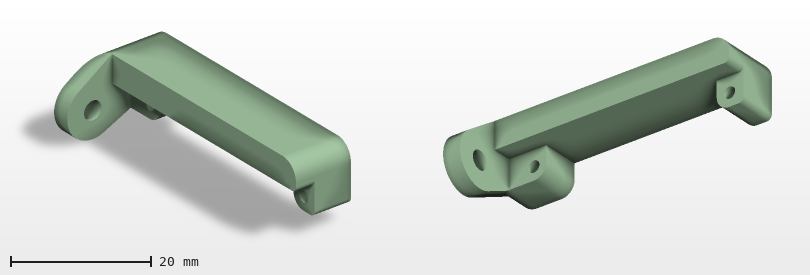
import cadquery as cq
import math

length = 45.0
depth = 18.1
height = 12.6

bar_depth = 10.0
bar_thickness = 4.72
bar_front = depth - bar_depth
bar_bottom = height - bar_thickness
corner_radius = 3.0
small_radius = 0.9

arm_thickness = corner_radius
pivot_radius = 4.65
pivot_hole = 3.2
pivot = (pivot_radius, pivot_radius)

lug_drop = 5.05
lug_depth = 6.6
lug_radius = 2.25
lug_hole = 2.0
lug_hole_drop = 2.75
lug_bottom = bar_bottom - lug_drop
left_lug_end = 9.68
right_lug_start = 40.2
left_hole_x = 7.45
right_hole_x = 42.5

arm_back_bottom = lug_bottom + corner_radius


def block(x_start, x_end, y_start, z_start, z_end):
    """Box running from y_start to the back face."""
    size = (x_end - x_start, depth - y_start, z_end - z_start)
    return cq.Workplane("XY").box(*size, centered=False).translate((x_start, y_start, z_start))


def pivot_tangent(point, side):
    """Point where a line from the given (Y, Z) point touches the pivot circle; side is +1 or -1."""
    dy = point[0] - pivot[0]
    dz = point[1] - pivot[1]
    angle = math.atan2(dz, dy) + side * math.acos(pivot_radius / math.hypot(dy, dz))
    return (pivot[0] + pivot_radius * math.cos(angle), pivot[1] + pivot_radius * math.sin(angle))


def make_bar():
    bar = block(0, length, bar_front, bar_bottom, height)
    bar = bar.edges("|Y and >X and >Z").fillet(corner_radius)
    return bar.edges("|Y and >X and <Z").fillet(small_radius)


def make_arm():
    top_front = (bar_front, height)
    back_low = (depth, arm_back_bottom)
    upper_touch = pivot_tangent(top_front, 1)
    lower_touch = pivot_tangent(back_low, -1)
    nose = (0, pivot[1])
    return (
        cq.Workplane("YZ")
        .moveTo(depth, height)
        .lineTo(*top_front)
        .lineTo(*upper_touch)
        .threePointArc(nose, lower_touch)
        .lineTo(*back_low)
        .close()
        .extrude(arm_thickness)
    )


def make_lug(x_start, x_end, hole_x, left_radius, right_radius):
    """Lug with rounded lower corners; it reaches up into the bar."""
    lug_top = bar_bottom + small_radius
    lug = block(x_start, x_end, depth - lug_depth, lug_bottom, lug_top)
    lug = lug.edges("|Y and <X and <Z").fillet(left_radius)
    lug = lug.edges("|Y and >X and <Z").fillet(right_radius)
    hole = (
        cq.Workplane("XZ", origin=(hole_x, depth, bar_bottom - lug_hole_drop))
        .circle(lug_hole / 2)
        .extrude(lug_depth)
    )
    return lug.cut(hole)


body = make_bar().union(make_arm())
body = body.intersect(
    block(0, length, 0, 0, height).edges("|Y and <X and >Z").fillet(corner_radius)
)

left_lug = make_lug(0, left_lug_end, left_hole_x, corner_radius, lug_radius)
right_lug = make_lug(right_lug_start, length, right_hole_x, lug_radius, small_radius)
body = body.union(left_lug).union(right_lug)

pivot_bore = (
    cq.Workplane("YZ").center(*pivot).circle(pivot_hole / 2).extrude(arm_thickness)
)
result = body.cut(pivot_bore)